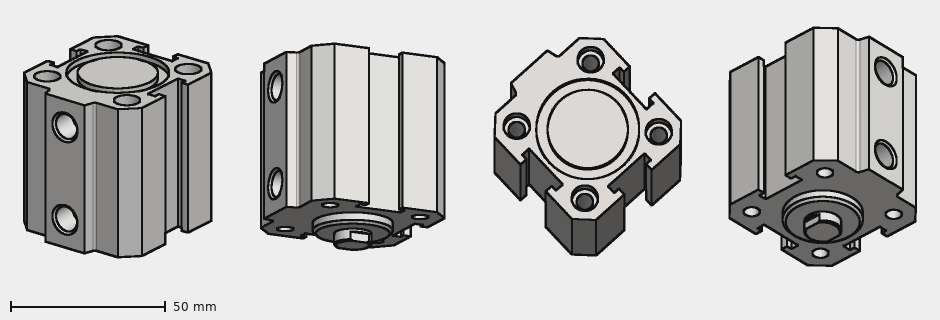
import cadquery as cq
import math


BARREL_WIDTH = 48.0
BARREL_HEIGHT = 52.0
HALF_WIDTH = BARREL_WIDTH / 2
CORNER_CHAMFER = 5.55

SLOT_MOUTH_WIDTH = 12.0
SLOT_INNER_WIDTH = 16.05
SLOT_LIP = 2.6
SLOT_DEPTH = 5.6

RIB_TIP_WIDTH = 16.0
RIB_HEIGHT = 4.0
RIB_FLANK_ANGLE = 15
RIB_ROOT_RADIUS = 1.0

PORT_DIAMETER = 8.55
PORT_CHAMFER = 0.85
PORT_DEPTH = 9.5
PORT_SPACING = 32.5

MOUNT_SPACING = 32.5
MOUNT_DIAMETER = 5.3
MOUNT_BORE_DIAMETER = 8.5
MOUNT_BORE_DEPTH = 5.4

RECESS_DIAMETER = 33.3
RECESS_DEPTH = 2.0
COLLAR_DIAMETER = 26.0
COLLAR_HEIGHT = 3.5
COLLAR_CHAMFER = 1.0

ROD_DIAMETER = 12.0
ROD_TIP_Z = BARREL_HEIGHT - 59.5
ROD_TOP_Z = BARREL_HEIGHT / 2
ROD_CHAMFER = 0.5
FLAT_SPACING = 10.0
FLAT_HEIGHT = 3


def make_barrel():
    """Square barrel with chamfered corners."""
    barrel = cq.Workplane("XY").rect(BARREL_WIDTH, BARREL_WIDTH).extrude(BARREL_HEIGHT)
    return barrel.edges("|Z").chamfer(CORNER_CHAMFER)


def make_port_rib():
    """Tapered rib on the -Y face, flaring into that face with round roots."""
    angle = math.radians(RIB_FLANK_ANGLE)
    face_y = -HALF_WIDTH
    tip_y = face_y - RIB_HEIGHT
    tip_x = RIB_TIP_WIDTH / 2
    corner_x = tip_x + RIB_HEIGHT * math.tan(angle)

    turn = math.pi / 2 - angle
    root_x = corner_x + RIB_ROOT_RADIUS * math.tan(turn / 2)
    center_y = face_y - RIB_ROOT_RADIUS

    def root_point(swing):
        x = root_x - RIB_ROOT_RADIUS * math.sin(swing)
        y = center_y + RIB_ROOT_RADIUS * math.cos(swing)
        return x, y

    middle_x, middle_y = root_point(turn / 2)
    flank_x, flank_y = root_point(turn)
    return (
        cq.Workplane("XY")
        .moveTo(root_x, face_y)
        .threePointArc((middle_x, middle_y), (flank_x, flank_y))
        .lineTo(tip_x, tip_y)
        .lineTo(-tip_x, tip_y)
        .lineTo(-flank_x, flank_y)
        .threePointArc((-middle_x, middle_y), (-root_x, face_y))
        .lineTo(-root_x, face_y + RIB_HEIGHT)
        .lineTo(root_x, face_y + RIB_HEIGHT)
        .close()
        .extrude(BARREL_HEIGHT)
    )


def make_slot(angle):
    """T-slot cutter for the +X side, turned about Z by the angle in degrees."""
    mouth = cq.Workplane("XY").box(
        SLOT_DEPTH, SLOT_MOUTH_WIDTH, BARREL_HEIGHT, centered=(False, True, False)
    )
    inner = cq.Workplane("XY").box(
        SLOT_DEPTH - SLOT_LIP, SLOT_INNER_WIDTH, BARREL_HEIGHT, centered=(False, True, False)
    )
    slot = mouth.union(inner).translate((HALF_WIDTH - SLOT_DEPTH, 0, 0))
    return slot.rotate((0, 0, 0), (0, 0, 1), angle)


def make_port(z):
    """Chamfered blind port cutter entering the rib tip along +Y."""
    radius = PORT_DIAMETER / 2
    mouth = cq.Vector(0, -HALF_WIDTH - RIB_HEIGHT, z)
    inward = cq.Vector(0, 1, 0)
    bore = cq.Solid.makeCylinder(radius, PORT_DEPTH, mouth, inward)
    chamfer = cq.Solid.makeCone(radius + PORT_CHAMFER, radius, PORT_CHAMFER, mouth, inward)
    return bore.fuse(chamfer)


def make_top_recess():
    """Ring cutter that leaves a round boss flush with the top face."""
    return (
        cq.Workplane("XY", origin=(0, 0, BARREL_HEIGHT - RECESS_DEPTH))
        .circle(RECESS_DIAMETER / 2)
        .circle(COLLAR_DIAMETER / 2)
        .extrude(RECESS_DEPTH)
    )


def make_collar():
    """Guide collar below the bottom face."""
    collar = cq.Workplane("XY").circle(COLLAR_DIAMETER / 2).extrude(-COLLAR_HEIGHT)
    return collar.faces("<Z").chamfer(COLLAR_CHAMFER)


def make_rod_cylinder():
    """Full round rod, also used to cut its matching hole."""
    return (
        cq.Workplane("XY", origin=(0, 0, ROD_TIP_Z))
        .circle(ROD_DIAMETER / 2)
        .extrude(ROD_TOP_Z - ROD_TIP_Z)
    )


def make_housing():
    """Barrel, port rib and collar with all slots, recesses and holes."""
    housing = make_barrel().union(make_port_rib()).union(make_collar())
    for angle in (0, 90, 180):
        housing = housing.cut(make_slot(angle))
    for side in (-1, 1):
        port_z = BARREL_HEIGHT / 2 + side * PORT_SPACING / 2
        housing = housing.cut(cq.Workplane(make_port(port_z)))
    housing = housing.cut(make_top_recess()).cut(make_rod_cylinder())
    return (
        housing.copyWorkplane(cq.Workplane("XY", origin=(0, 0, BARREL_HEIGHT)))
        .rect(MOUNT_SPACING, MOUNT_SPACING, forConstruction=True)
        .vertices()
        .cboreHole(MOUNT_DIAMETER, MOUNT_BORE_DIAMETER, MOUNT_BORE_DEPTH)
    )


def make_rod():
    """Piston rod with a chamfered tip and two wrench flats facing X."""
    rod = make_rod_cylinder().faces("<Z").chamfer(ROD_CHAMFER)
    for side in (-1, 1):
        flat_cutter = cq.Workplane("XY").box(
            ROD_DIAMETER, ROD_DIAMETER, FLAT_HEIGHT, centered=(True, True, False)
        )
        flat_x = side * (FLAT_SPACING + ROD_DIAMETER) / 2
        rod = rod.cut(flat_cutter.translate((flat_x, 0, ROD_TIP_Z)))
    return rod


housing = make_housing()
rod = make_rod()
result = cq.Compound.makeCompound([housing.val(), rod.val()])